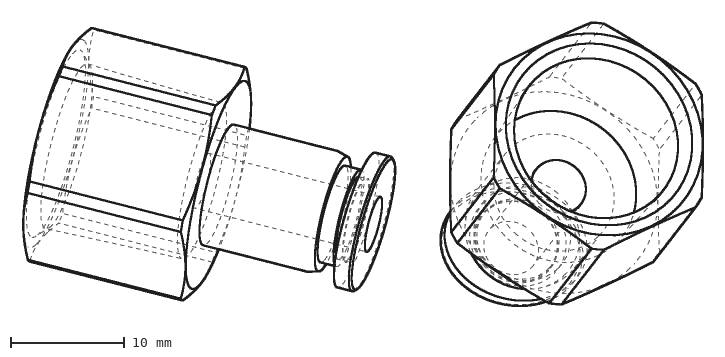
import cadquery as cq
import math

total_length = 29.35

nut_length = 15.03
across_flats = 19.0
across_corners = 21.3
nut_face_radius = 9.45
nut_chamfer_angle = 20.0

socket_depth = 13.5
socket_mouth_radius = 8.5
socket_radius = 7.48
socket_chamfer_depth = 1.0
socket_taper = 1 / 16

through_radius = 2.5

body_radius = 5.5
body_length = 9.57
body_tip_length = 1.0
body_tip_angle = 15.0
collar_radius = 4.4
collar_length = 1.47
neck_radius = 3.75
neck_flare = 0.1

flange_thickness = 1.58
flange_width_y = 13.0
flange_height_z = 11.0
flange_chamfer = 0.2


def revolve_about_x(points):
    """Turn a closed (x, radius) outline about the X axis."""
    return cq.Workplane("XY").polyline(points).close().revolve(360, (0, 0, 0), (1, 0, 0))


def make_nut():
    corner_diameter = across_flats / math.cos(math.radians(30))
    hexagon = (
        cq.Workplane("YZ")
        .polygon(6, corner_diameter)
        .extrude(nut_length)
        .rotate((0, 0, 0), (1, 0, 0), 90)
    )
    corner_radius = across_corners / 2
    chamfer_depth = (corner_radius - nut_face_radius) * math.tan(math.radians(nut_chamfer_angle))
    turned_envelope = revolve_about_x([
        (0, 0),
        (0, nut_face_radius),
        (chamfer_depth, corner_radius),
        (nut_length - chamfer_depth, corner_radius),
        (nut_length, nut_face_radius),
        (nut_length, 0),
    ])
    return hexagon.intersect(turned_envelope)


def make_body():
    tip_start = nut_length + body_length
    tip_end = tip_start + body_tip_length
    collar_end = tip_end + collar_length
    flange_start = total_length - flange_thickness
    tip_radius = body_radius - body_tip_length * math.tan(math.radians(body_tip_angle))
    return revolve_about_x([
        (0, 0),
        (0, body_radius),
        (tip_start, body_radius),
        (tip_end, tip_radius),
        (tip_end, collar_radius),
        (collar_end, collar_radius),
        (collar_end, neck_radius),
        (flange_start - neck_flare, neck_radius),
        (flange_start, neck_radius + neck_flare),
        (flange_start, 0),
    ])


def make_flange():
    return (
        cq.Workplane("YZ", origin=(total_length - flange_thickness, 0, 0))
        .ellipse(flange_width_y / 2, flange_height_z / 2)
        .extrude(flange_thickness)
        .faces(">X")
        .chamfer(flange_chamfer)
    )


def make_socket():
    tapered_length = socket_depth - socket_chamfer_depth
    bottom_radius = socket_radius - tapered_length * socket_taper / 2
    return revolve_about_x([
        (0, 0),
        (0, socket_mouth_radius),
        (socket_chamfer_depth, socket_radius),
        (socket_depth, bottom_radius),
        (socket_depth, 0),
    ])


through_hole = cq.Workplane("YZ").circle(through_radius).extrude(total_length)

result = (
    make_nut()
    .union(make_body())
    .union(make_flange())
    .cut(make_socket())
    .cut(through_hole)
)